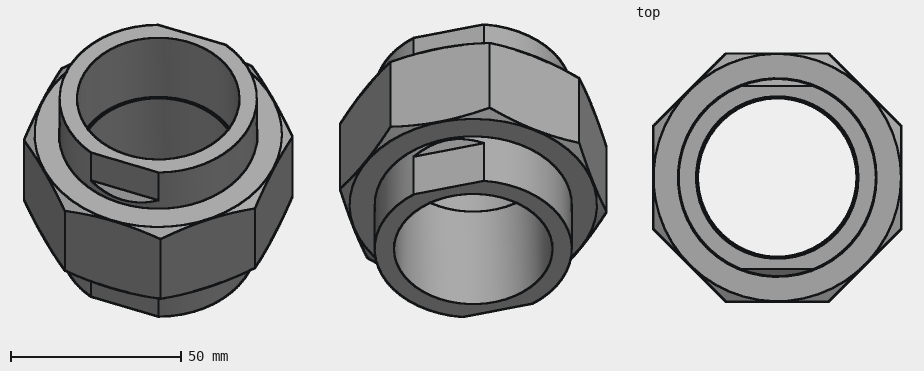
import cadquery as cq
import math

total_height = 64.0
nut_across_flats = 73.0
nut_sides = 8

nut_bottom = 18.0
nut_height = 30.15
nut_face_radius = 36.35
nut_chamfer_angle = math.radians(30)

pipe_radius = 29.0
upper_bore_radius = 23.9
lower_bore_radius = 23.3
joint_height = 37.8

nut_clearance = 0.2

flat_distance = 26.95
upper_flat_start = 51.7
lower_flat_end = 15.4

nut_corner_radius = nut_across_flats / 2 / math.cos(math.pi / nut_sides)
nut_chamfer_drop = (nut_corner_radius - nut_face_radius) * math.tan(nut_chamfer_angle)


def make_nut():
    """Octagonal nut, close on the lower pipe, clear of the upper one, coned at both ends."""
    prism = (
        cq.Workplane("XY")
        .workplane(offset=nut_bottom)
        .transformed(rotate=(0, 0, 180 / nut_sides))
        .polygon(nut_sides, 2 * nut_corner_radius)
        .extrude(nut_height)
    )
    nut_top = nut_bottom + nut_height
    upper_nut_bore = pipe_radius + nut_clearance
    turned_blank = (
        cq.Workplane("XZ")
        .moveTo(pipe_radius, nut_bottom)
        .lineTo(nut_face_radius, nut_bottom)
        .lineTo(nut_corner_radius, nut_bottom + nut_chamfer_drop)
        .lineTo(nut_corner_radius, nut_top - nut_chamfer_drop)
        .lineTo(nut_face_radius, nut_top)
        .lineTo(upper_nut_bore, nut_top)
        .lineTo(upper_nut_bore, joint_height)
        .lineTo(pipe_radius, joint_height)
        .close()
        .revolve(360, (0, 0, 0), (0, 1, 0))
    )
    return prism.intersect(turned_blank)


def make_pipe_end(joint_z, end_z, flat_z, bore_radius):
    """Pipe from the joint to its open end, with two opposite flats that run out at 45 degrees."""
    pipe = (
        cq.Workplane("XY")
        .workplane(offset=joint_z)
        .circle(pipe_radius)
        .circle(bore_radius)
        .extrude(end_z - joint_z)
    )
    flat_depth = pipe_radius - flat_distance
    runout_z = flat_z - math.copysign(flat_depth, end_z - joint_z)
    flat_cutter = (
        cq.Workplane("YZ")
        .moveTo(flat_distance, end_z)
        .lineTo(flat_distance, flat_z)
        .lineTo(pipe_radius, runout_z)
        .lineTo(pipe_radius, end_z)
        .close()
        .extrude(pipe_radius, both=True)
    )
    return pipe.cut(flat_cutter).cut(flat_cutter.mirror("XZ"))


nut = make_nut()
upper_pipe = make_pipe_end(joint_height, total_height, upper_flat_start, upper_bore_radius)
lower_pipe = make_pipe_end(joint_height, 0, lower_flat_end, lower_bore_radius)

result = cq.Compound.makeCompound([nut.val(), upper_pipe.val(), lower_pipe.val()])